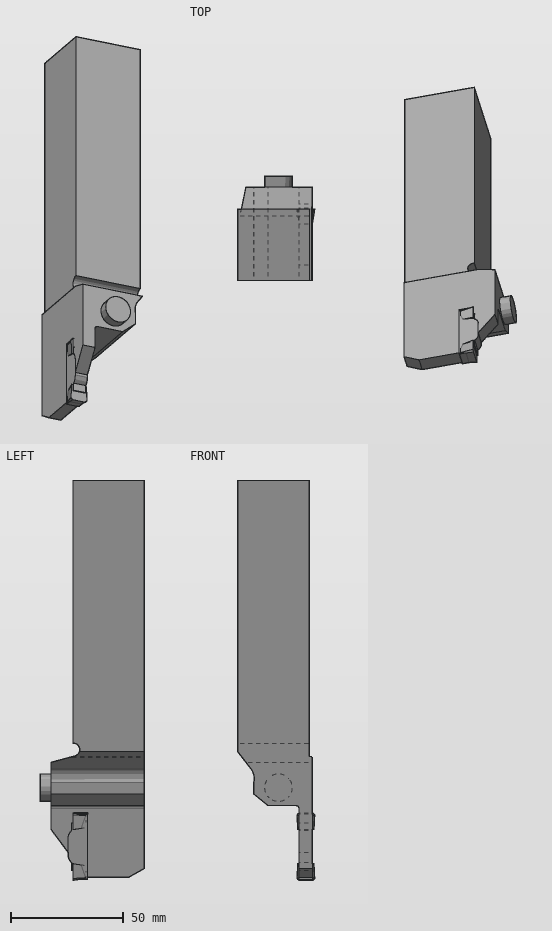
import cadquery as cq
import math

total_height = 177.8
shank_side = 31.8

head_back_y = 41.6
head_right_x = 33.2
shoulder_z = 61.0
step_z = 55.1
step_chamfer = 0.5
slope_top_z = 57.3
slope_end_x = 5.9
slope_end_z = 49.6
neck_x = 7.1
neck_top_z = 43.5
neck_bottom_z = 38.4
head_bottom_x = 13.5
head_bottom_z = 33.2

groove_radius = 2.8
groove_center_y = 31.6
shoulder_slope = 15.0

blade_left_x = 27.2
blade_root_fillet = 1.2
blade_bottom_z = 1.5
blade_width = head_right_x - blade_left_x
blade_center_x = (blade_left_x + head_right_x) / 2
front_chamfer_depth = 7.0
front_chamfer_height = 4.0
jaw_slope_top_z = 22.8
jaw_tip_y = 32.4
jaw_tip_z = 10.3

stub_diameter = 12.3
stub_x = 18.1
stub_z = 41.2
back_y = 46.4

insert_length = 30.0
insert_seat_y = 25.2
rake_y = shank_side
core_end_gap = 0.5
bump_top_y = 34.0
bump_length = 16.2
bump_diameter = 8.7
breaker_height = 0.5
breaker_length = 21.2
cutting_edge_x = 34.3
cutting_width = 8.0
cutting_half_width = cutting_width / 2
cutting_center_x = cutting_edge_x - cutting_half_width
corner_chamfer = 0.9
tip_inner_width = 7.3
tip_inner_half_width = tip_inner_width / 2
tip_length = 7.5
tip_depth = 5.9
tip_relief_angle = 8.7
insert_middle_z = insert_length / 2


def front_outline():
    """Holder outline in X and Z, extruded over the full depth of the head."""
    outline = (
        cq.Workplane("XZ")
        .moveTo(0, total_height)
        .lineTo(0, slope_top_z)
        .lineTo(slope_end_x, slope_end_z)
        .tangentArcPoint((neck_x, neck_top_z), relative=False)
        .lineTo(neck_x, neck_bottom_z)
        .lineTo(head_bottom_x, head_bottom_z)
        .lineTo(blade_left_x - blade_root_fillet, head_bottom_z)
        .radiusArc((blade_left_x, head_bottom_z - blade_root_fillet), blade_root_fillet)
        .lineTo(blade_left_x, blade_bottom_z)
        .lineTo(head_right_x, blade_bottom_z)
        .lineTo(head_right_x, step_z - step_chamfer)
        .lineTo(head_right_x - step_chamfer, step_z)
        .lineTo(shank_side, step_z)
        .lineTo(shank_side, total_height)
        .close()
    )
    return outline.extrude(-head_back_y)


def side_outline():
    """Holder outline in Y and Z, extruded over the full width."""
    slope = math.radians(shoulder_slope)
    groove_center_z = shoulder_z - groove_radius
    groove_end_y = groove_center_y - groove_radius * math.sin(slope)
    groove_end_z = groove_center_z - groove_radius * math.cos(slope)
    slope_foot_z = groove_end_z - (head_back_y - groove_end_y) * math.tan(slope)
    outline = (
        cq.Workplane("YZ")
        .moveTo(0, total_height)
        .lineTo(shank_side, total_height)
        .lineTo(shank_side, shoulder_z)
        .lineTo(groove_center_y, shoulder_z)
        .threePointArc((groove_center_y - groove_radius, groove_center_z), (groove_end_y, groove_end_z))
        .lineTo(head_back_y, slope_foot_z)
        .lineTo(head_back_y, jaw_slope_top_z)
        .lineTo(jaw_tip_y, jaw_tip_z)
        .lineTo(insert_seat_y, blade_bottom_z)
        .lineTo(front_chamfer_depth, blade_bottom_z)
        .lineTo(0, blade_bottom_z + front_chamfer_height)
        .close()
    )
    return outline.extrude(head_right_x)


def block(width, y_min, y_max, z_min, z_max):
    """Box centred on the blade in X."""
    return cq.Workplane("XY").box(width, y_max - y_min, z_max - z_min).translate(
        (blade_center_x, (y_min + y_max) / 2, (z_min + z_max) / 2)
    )


def insert_core(end_gap):
    """Part of the insert as thick as the blade, with its rounded bump and chip breakers."""
    bar = block(blade_width, insert_seat_y, rake_y, end_gap, insert_length - end_gap)
    breakers = block(
        blade_width,
        insert_seat_y,
        rake_y + breaker_height,
        insert_middle_z - breaker_length / 2,
        insert_middle_z + breaker_length / 2,
    )
    bump = block(
        blade_width,
        insert_seat_y,
        bump_top_y,
        insert_middle_z - bump_length / 2,
        insert_middle_z + bump_length / 2,
    ).edges("|X and >Y").fillet(bump_diameter / 2)
    return bar.union(breakers).union(bump)


def lower_tip():
    """Cutting tip, widest at the cutting edge and relieved on all sides."""
    rake_plane = cq.Plane(origin=(cutting_center_x, rake_y, 0), xDir=(1, 0, 0), normal=(0, -1, 0))
    return (
        cq.Workplane(rake_plane)
        .polyline(
            [
                (corner_chamfer - cutting_half_width, 0),
                (cutting_half_width - corner_chamfer, 0),
                (cutting_half_width, corner_chamfer),
                (tip_inner_half_width, tip_length),
                (-tip_inner_half_width, tip_length),
                (-cutting_half_width, corner_chamfer),
            ]
        )
        .close()
        .extrude(tip_depth, taper=tip_relief_angle)
    )


def make_insert():
    """Insert with a cutting tip at each end."""
    tip = lower_tip()
    upper_tip = tip.mirror("XY", (0, 0, insert_middle_z))
    return insert_core(core_end_gap).union(tip).union(upper_tip)


def make_holder():
    """Shank, head and blade in one piece, with the insert pocket and the screw end."""
    stub = (
        cq.Workplane("XZ", origin=(stub_x, head_back_y, stub_z))
        .circle(stub_diameter / 2)
        .extrude(head_back_y - back_y)
    )
    body = front_outline().intersect(side_outline())
    return body.cut(insert_core(0)).union(stub)


holder = make_holder()
insert = make_insert()

result = cq.Compound.makeCompound([holder.val(), insert.val()])